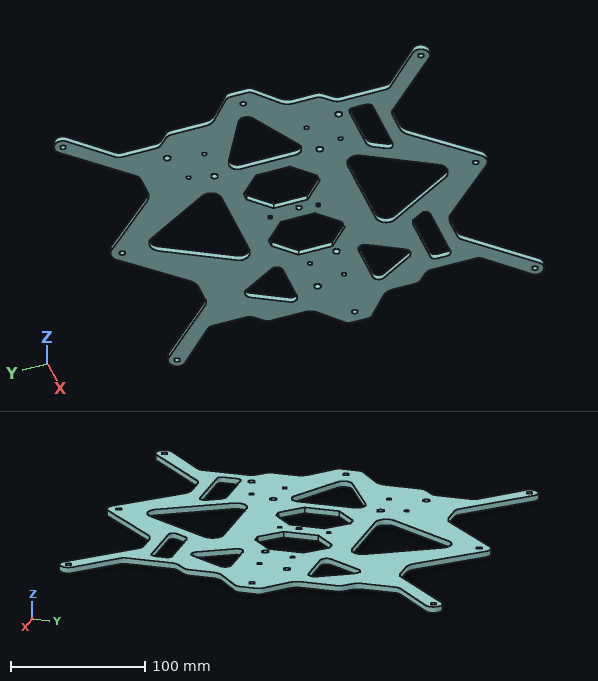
import cadquery as cq
import math

overall_width = 260.0
overall_length = 299.2
plate_thickness = 4.8
sleeve_projection = 0.5

arm_hole_x = 122.5
arm_hole_y = 142.5
arm_half_width = 7.0
arm_tip_radius = 6.5
nose_radius = 7.8
valley_y = 100.2
valley_inner_x = 49.5
valley_outer_x = 72.5
valley_inner_radius = 11.7
valley_outer_radius = 6.0
waist_x = 97.2
waist_radius = 6.5
shoulder_x = 107.0
shoulder_radius = 7.8
shoulder_half_length = 60.5
step_half_length = 70.5
step_radius = 7.5
ear_root_y = 29.5
ear_root_radius = 12.0
ear_tip_y = 9.3
ear_tip_radius = 6.0

layout_x = 1.8
layout_y = 4.5

main_window_y = 0.3
main_window_base_offset = 50.3
main_window_side = 88.3
main_window_radius = 8.5
left_window_base_x = -54.5
left_window_side = 66.7
left_window_radius = 6.5
right_window_x = 74.0
right_window_offset = 30.2
right_window_side = 46.5
right_window_radius = 4.8

octagon_spacing = 53.5
octagon_half_width = 18.8
octagon_half_height = 29.0
octagon_side_half_height = 13.5
octagon_end_half_width = 3.0

slot_outer_x = 87.0
slot_inner_x = 34.0
slot_bottom_y = -89.5
left_slot_top_y = -71.2
right_slot_top_y = -73.5
slot_radius = 3.5
left_slot_shoulder_radius = 7.8
right_slot_shoulder_radius = 5.5

fixing_hole_diameter = 4.2
nose_hole_y = 140.5
ear_hole_x = 119.7
pad_x = 69.0
large_hole_diameter = 5.0
large_hole_half_pitch_x = 15.3
large_hole_half_pitch_y = 13.2
small_hole_diameter = 3.3
small_hole_half_pitch = 10.0
upper_pad_large_y = 60.5
upper_pad_small_y = 56.0
lower_pad_large_y = -49.7
lower_pad_small_y = -45.2
right_pad_y = 3.3

sleeve_outer_diameter = 3.0
sleeve_bore_diameter = 2.55
sleeve_half_pitch = 19.0


def rounded_loop(corners):
    """Closed wire through (x, y, radius) corners, each rounded by a tangent arc."""
    stretches = []
    count = len(corners)
    for i, (x, y, radius) in enumerate(corners):
        corner = cq.Vector(x, y)
        before = (cq.Vector(*corners[i - 1][:2]) - corner).normalized()
        after = (cq.Vector(*corners[(i + 1) % count][:2]) - corner).normalized()
        half_angle = before.getAngle(after) / 2
        setback = radius / math.tan(half_angle)
        middle_distance = radius / math.sin(half_angle) - radius
        middle = corner + (before + after).normalized() * middle_distance
        stretches.append((corner + before * setback, middle, corner + after * setback, radius))
    edges = []
    for i, (start, middle, end, radius) in enumerate(stretches):
        if radius > 0:
            edges.append(cq.Edge.makeThreePointArc(start, middle, end))
        edges.append(cq.Edge.makeLine(end, stretches[(i + 1) % count][0]))
    return cq.Wire.assembleEdges(edges)


def prism(corners):
    """Solid of plate thickness over a rounded outline."""
    rise = cq.Vector(0, 0, plate_thickness)
    return cq.Workplane(cq.Solid.extrudeLinear(rounded_loop(corners), [], rise))


def mirrored_in_y(corners, centre_y=0.0):
    """Corners reflected top to bottom about a level line, in reversed order."""
    return [(x, 2 * centre_y - y, radius) for x, y, radius in reversed(corners)]


def mirrored_in_x(corners):
    """Corners reflected left to right about the plate centre, in reversed order."""
    return [(-x, y, radius) for x, y, radius in reversed(corners)]


def nose_apex_y():
    """Height at which the two nose sides would meet if the nose were not rounded."""
    centre_height = overall_length / 2 - nose_radius - valley_y
    centre_distance = math.hypot(valley_inner_x, centre_height)
    slope = math.atan2(centre_height, valley_inner_x) + math.asin(nose_radius / centre_distance)
    return valley_y + valley_inner_x * math.tan(slope)


def plate_blank():
    """Plate outline with two noses, two ears and four diagonal arms."""
    tip_reach = arm_half_width * math.sqrt(2)
    arm_outer_offset = arm_hole_x + tip_reach - waist_x
    arm = [
        (valley_inner_x, valley_y, valley_inner_radius),
        (valley_outer_x, valley_y, valley_outer_radius),
        (arm_hole_x, arm_hole_y + tip_reach, arm_tip_radius),
        (arm_hole_x + tip_reach, arm_hole_y, arm_tip_radius),
        (waist_x, arm_hole_y - arm_outer_offset, waist_radius),
    ]
    step = [
        (waist_x, layout_y + step_half_length, step_radius),
        (shoulder_x, layout_y + shoulder_half_length, shoulder_radius),
    ]
    ear = [
        (shoulder_x, ear_root_y, ear_root_radius),
        (overall_width / 2, ear_tip_y, ear_tip_radius),
    ]
    right = arm + step + ear + mirrored_in_y(ear) + mirrored_in_y(step, layout_y) + mirrored_in_y(arm)
    nose = [(0, nose_apex_y(), nose_radius)]
    return prism(nose + right + mirrored_in_y(nose) + mirrored_in_x(right))


def triangle_window(base_x, base_y, side, radius, direction):
    """Equilateral window from the middle of its base, pointing at `direction` degrees."""
    height = side * math.sqrt(3) / 2
    window = prism([(0, -side / 2, radius), (height, 0, radius), (0, side / 2, radius)])
    return window.rotate((0, 0, 0), (0, 0, 1), direction).translate((base_x, base_y, 0))


def triangle_windows():
    """One window on the left, and a large and a small one both above and below."""
    windows = triangle_window(left_window_base_x, layout_y, left_window_side, left_window_radius, 180)
    for sign in (1, -1):
        main_base_y = main_window_y + sign * main_window_base_offset
        main = triangle_window(0, main_base_y, main_window_side, main_window_radius, sign * 90)
        right_base_y = layout_y + sign * right_window_offset
        right = triangle_window(
            right_window_x, right_base_y, right_window_side, right_window_radius, sign * 90
        )
        windows = windows.union(main).union(right)
    return windows


def octagon_window(centre_x):
    """Tall window with sharp corners and sloping ends."""
    upper = [
        (octagon_half_width, octagon_side_half_height, 0),
        (octagon_end_half_width, octagon_half_height, 0),
        (-octagon_end_half_width, octagon_half_height, 0),
        (-octagon_half_width, octagon_side_half_height, 0),
    ]
    return prism(upper + mirrored_in_y(upper)).translate((centre_x, layout_y, 0))


def slot_corners(top_y, shoulder_radius):
    """Right-hand slot whose inner end slopes at 60 degrees."""
    slope_run = (top_y - slot_bottom_y) / math.sqrt(3)
    return [
        (slot_inner_x, slot_bottom_y, slot_radius),
        (slot_outer_x, slot_bottom_y, slot_radius),
        (slot_outer_x, top_y, slot_radius),
        (slot_inner_x + slope_run, top_y, shoulder_radius),
    ]


def holes(points, diameter):
    """Round cutters through the plate at the given points."""
    return cq.Workplane().pushPoints(points).circle(diameter / 2).extrude(plate_thickness)


def fixing_holes():
    """Holes in the arm tips, noses, ears and plate centre."""
    points = [(x, y) for x in (arm_hole_x, -arm_hole_x) for y in (arm_hole_y, -arm_hole_y)]
    points += [(0, nose_hole_y), (0, -nose_hole_y), (ear_hole_x, 0), (-ear_hole_x, 0), (0, 0)]
    return holes(points, fixing_hole_diameter)


def pad_holes(x, large_y, small_y, side_x, side_y):
    """Diagonal pair of large holes crossed by a diagonal pair of small ones."""
    large = []
    small = []
    for sign in (1, -1):
        large_rise = sign * side_y * large_hole_half_pitch_y
        small_rise = sign * side_y * small_hole_half_pitch
        large.append((x + sign * side_x * large_hole_half_pitch_x, large_y + large_rise))
        small.append((x - sign * side_x * small_hole_half_pitch, small_y + small_rise))
    return holes(large, large_hole_diameter).union(holes(small, small_hole_diameter))


def all_pad_holes():
    """One pad of holes on the right and two on the left."""
    right = pad_holes(pad_x, right_pad_y, right_pad_y, 1, 1)
    upper = pad_holes(-pad_x, upper_pad_large_y, upper_pad_small_y, -1, 1)
    lower = pad_holes(-pad_x, lower_pad_large_y, lower_pad_small_y, -1, -1)
    return right.union(upper).union(lower)


sleeve_points = [(layout_x, layout_y + sign * sleeve_half_pitch) for sign in (1, -1)]


def make_plate():
    """Flat plate with all its windows, slots and holes."""
    body = plate_blank().cut(triangle_windows())
    for sign in (1, -1):
        body = body.cut(octagon_window(layout_x + sign * octagon_spacing / 2))
    body = body.cut(prism(slot_corners(right_slot_top_y, right_slot_shoulder_radius)))
    body = body.cut(prism(mirrored_in_x(slot_corners(left_slot_top_y, left_slot_shoulder_radius))))
    body = body.cut(fixing_holes()).cut(all_pad_holes())
    return body.cut(holes(sleeve_points, sleeve_outer_diameter))


def make_sleeve(x, y):
    """Thin tube flush with the plate top and standing out below it."""
    ring = cq.Workplane().workplane(offset=-sleeve_projection).center(x, y)
    ring = ring.circle(sleeve_outer_diameter / 2).circle(sleeve_bore_diameter / 2)
    return ring.extrude(plate_thickness + sleeve_projection)


plate = make_plate()
sleeves = [make_sleeve(x, y) for x, y in sleeve_points]

result = cq.Compound.makeCompound([plate.val(), *[sleeve.val() for sleeve in sleeves]])